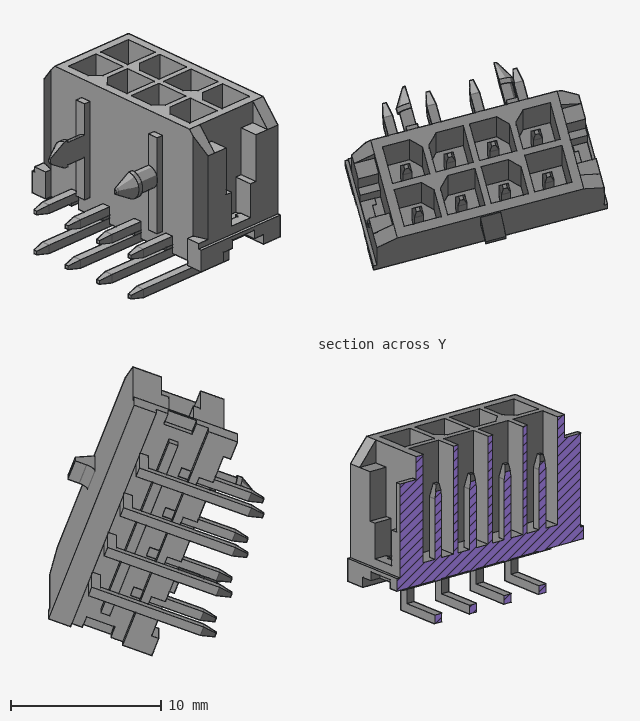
import cadquery as cq


pitch = 3.0
columns = 4
pin_size = 0.64
pin_tip_size = 0.28
pin_taper_length = 0.97
pin_reach = 10.55
pin_top_z = 7.5
upper_pin_z = 0.98
leg_bottom_z = -2.34

height = 9.9
depth = 6.86
core_half_width = 6.43
end_half_width = 7.84
end_top_z = 8.28
middle_y = -depth / 2

cavity_size = 2.57
cavity_key = 0.7
cavity_floor_z = 2.25
back_row_keys = ["", "left", "right", "left"]
front_row_keys = ["right", "left", "right", "left"]

horn_depth = 0.97
wide_slot_width = 2.76
narrow_slot_width = 1.75
slot_step_z = 4.78
slot_floor_z = 2.25
floor_recess_depth = 0.1
floor_recess_half_width = 6.83
floor_stub_half_width = 7.1
floor_stub_width = 0.89
bevel_inner_half_width = 6.77
bevel_depth = 0.36

foot_top_z = 2.03
foot_front_y = -7.37
flange_half_width = 8.075
flange_top_z = 1.63
flange_notch_width = 2.02
flange_notch_top_z = 1.35
flange_notch_depth = 0.8

trench_back_y = -1.58
trench_front_y = -5.29
trench_depth = 0.72
under_rib_width = 0.64
pin_slot_depth = 1.0

peg_axis_x = 3.06
peg_z = 5.32
peg_radius = 0.84
peg_head_radius = 0.98
peg_tip_radius = 0.27
peg_nose_radius = 0.17
peg_collar_y = -8.89
peg_cone_y = -9.23
peg_tip_y = -10.42
rib_width = 0.8
rib_bottom_z = 1.3
rib_top_z = 8.49

latch_width = 1.4
latch_reach = 1.4
latch_top_z = 9.37
latch_nose_top_z = 7.72
latch_underside_z = 6.96
latch_fillet = 0.6

column_x = [(i - (columns - 1) / 2) * pitch for i in range(columns)]
row_y = [middle_y + pitch / 2, middle_y - pitch / 2]
row_leg_z = [leg_bottom_z + pin_size / 2, upper_pin_z]
row_keys = [back_row_keys, front_row_keys]


def block(x_range, y_range, z_range):
    """Axis-aligned box between pairs of limits, given in either order."""
    x0, x1 = sorted(x_range)
    y0, y1 = sorted(y_range)
    z0, z1 = sorted(z_range)
    return cq.Workplane("XY").box(x1 - x0, y1 - y0, z1 - z0, centered=False).translate((x0, y0, z0))


def centred(middle, width):
    """Limits of a span of the given width about its middle."""
    return (middle - width / 2, middle + width / 2)


def both_ends(feature):
    """The +X feature together with its mirror image at -X."""
    return feature.union(feature.mirror("YZ"))


def housing_body():
    outline = [
        (-end_half_width, 0),
        (end_half_width, 0),
        (end_half_width, end_top_z),
        (core_half_width, height),
        (-core_half_width, height),
        (-end_half_width, end_top_z),
    ]
    return cq.Workplane("XZ").polyline(outline).close().extrude(depth)


def end_foot():
    """Foot in front of an end wall, with the low flange along its outside."""
    foot_x = (bevel_inner_half_width, end_half_width)
    foot = block(foot_x, (-depth + bevel_depth, foot_front_y), (0, foot_top_z))
    flange = block((end_half_width, flange_half_width), (0, foot_front_y), (0, flange_top_z))
    return foot.union(flange)


def end_bevel():
    """Wedge that slopes the front corner of an end wall, above its foot."""
    outline = [
        (bevel_inner_half_width, -depth),
        (end_half_width, -depth),
        (end_half_width, -depth + bevel_depth),
    ]
    wedge = cq.Workplane("XY").workplane(offset=foot_top_z).polyline(outline).close()
    return wedge.extrude(height - foot_top_z)


def end_slot():
    """Stepped slot down an end wall, with a shallow T-shaped recess in its floor."""
    wall = (core_half_width, end_half_width)
    narrow_y = centred(middle_y, narrow_slot_width)
    recess_z = (slot_floor_z - floor_recess_depth, slot_floor_z)
    crest = block(wall, (-horn_depth, -depth + horn_depth), (end_top_z, height))
    wide = block(wall, centred(middle_y, wide_slot_width), (slot_step_z, end_top_z))
    narrow = block(wall, narrow_y, (slot_floor_z, slot_step_z))
    recess = block((core_half_width, floor_recess_half_width), narrow_y, recess_z)
    stub_y = centred(middle_y, floor_stub_width)
    stub = block((core_half_width, floor_stub_half_width), stub_y, recess_z)
    return crest.union(wide).union(narrow).union(recess).union(stub)


def flange_notch():
    notch_x = (flange_half_width - flange_notch_depth, flange_half_width)
    return block(notch_x, centred(middle_y, flange_notch_width), (0, flange_notch_top_z))


def underside_trench():
    return block((-flange_half_width, flange_half_width), (trench_back_y, trench_front_y), (0, trench_depth))


def underside_rib():
    rib_x = (-core_half_width, core_half_width)
    return block(rib_x, centred(middle_y, under_rib_width), (0, trench_depth))


def pin_slot(x):
    """Notch in the lower front edge that lets an upper pin leg out."""
    return block(centred(x, pin_size), (-depth, -depth + pin_slot_depth), (0, upper_pin_z + pin_size / 2))


def cavity(x, y, key):
    z_range = (cavity_floor_z, height)
    pocket = block(centred(x, cavity_size), centred(y, cavity_size), z_range)
    if key:
        side = 1 if key == "right" else -1
        corner_x = x + side * cavity_size / 2
        corner_y = y - cavity_size / 2
        corner = [
            (corner_x, corner_y),
            (corner_x - side * cavity_key, corner_y),
            (corner_x, corner_y + cavity_key),
        ]
        key_post = cq.Workplane("XY").workplane(offset=cavity_floor_z).polyline(corner).close()
        pocket = pocket.cut(key_post.extrude(height - cavity_floor_z))
    return pocket


def pin_tip(plane):
    """Square taper growing from the plane's origin along its normal."""
    taper = cq.Workplane(plane).rect(pin_size, pin_size)
    return taper.workplane(offset=pin_taper_length).rect(pin_tip_size, pin_tip_size).loft(ruled=True)


def pin(x, y, leg_z):
    """Bent pin: upright in its cavity, then level toward the board."""
    across = centred(x, pin_size)
    upright_top_z = pin_top_z - pin_taper_length
    leg_end_y = -pin_reach + pin_taper_length
    upright = block(across, centred(y, pin_size), (leg_z - pin_size / 2, upright_top_z))
    leg = block(across, (y + pin_size / 2, leg_end_y), centred(leg_z, pin_size))
    top_tip = pin_tip(cq.Plane((x, y, upright_top_z), xDir=(1, 0, 0), normal=(0, 0, 1)))
    leg_tip = pin_tip(cq.Plane((x, leg_end_y, leg_z), xDir=(1, 0, 0), normal=(0, -1, 0)))
    return upright.union(leg).union(top_tip).union(leg_tip)


def peg_with_rib():
    """Half-round barbed peg, flat on its inner side, on a vertical rib."""
    profile = [
        (0, foot_front_y),
        (peg_radius, foot_front_y),
        (peg_radius, peg_collar_y),
        (peg_head_radius, peg_collar_y),
        (peg_head_radius, peg_cone_y),
        (peg_tip_radius, peg_tip_y),
        (peg_nose_radius, -pin_reach),
        (0, -pin_reach),
    ]
    round_peg = cq.Workplane("XY").polyline(profile).close().revolve(360, (0, 0), (0, 1))
    round_peg = round_peg.translate((peg_axis_x, 0, peg_z))
    outer_half = block(
        (peg_axis_x, peg_axis_x + peg_head_radius),
        (foot_front_y, -pin_reach),
        centred(peg_z, 2 * peg_head_radius),
    )
    rib = block((peg_axis_x, peg_axis_x + rib_width), (-depth, foot_front_y), (rib_bottom_z, rib_top_z))
    return round_peg.intersect(outer_half).union(rib)


def latch():
    """Ramped catch on the back face, with a concave fillet under it."""
    profile = (
        cq.Workplane("YZ")
        .workplane(offset=-latch_width / 2)
        .moveTo(0, latch_top_z)
        .lineTo(latch_reach, latch_nose_top_z)
        .lineTo(latch_reach, latch_underside_z)
        .lineTo(latch_fillet, latch_underside_z)
        .radiusArc((0, latch_underside_z - latch_fillet), -latch_fillet)
        .close()
    )
    return profile.extrude(latch_width)


result = housing_body().cut(both_ends(end_bevel())).union(both_ends(end_foot()))
result = result.cut(both_ends(end_slot())).cut(both_ends(flange_notch()))
result = result.cut(underside_trench()).union(underside_rib())
for x in column_x:
    result = result.cut(pin_slot(x))
for y, keys in zip(row_y, row_keys):
    for x, key in zip(column_x, keys):
        result = result.cut(cavity(x, y, key))

result = result.union(both_ends(peg_with_rib())).union(latch())

for y, leg_z in zip(row_y, row_leg_z):
    for x in column_x:
        result = result.union(pin(x, y, leg_z))